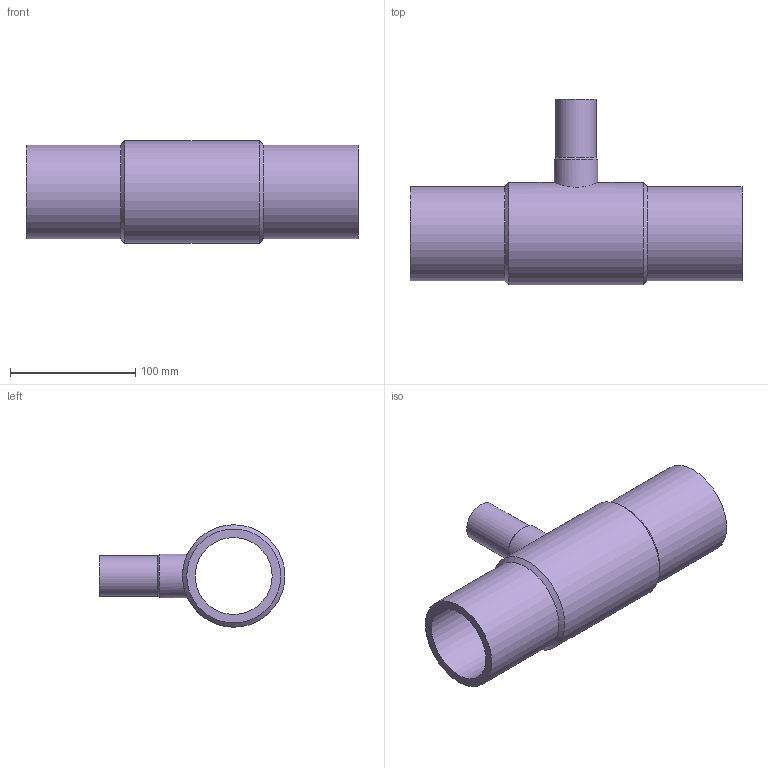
import cadquery as cq

PIPE_LENGTH = 265.0
PIPE_DIAMETER = 75.0
BORE_DIAMETER = 61.4

SLEEVE_LENGTH = 114.0
SLEEVE_DIAMETER = 81.8
SLEEVE_CHAMFER = (SLEEVE_DIAMETER - PIPE_DIAMETER) / 2

BRANCH_REACH = 107.5
BRANCH_DIAMETER = 32.0
COLLAR_DIAMETER = 35.0
COLLAR_HEIGHT = 20.0
COLLAR_REACH = SLEEVE_DIAMETER / 2 + COLLAR_HEIGHT
COLLAR_CHAMFER = (COLLAR_DIAMETER - BRANCH_DIAMETER) / 2


def cylinder_along_x(diameter, length):
    """Cylinder on the X axis, centred on the origin."""
    return cq.Workplane("YZ").circle(diameter / 2).extrude(length / 2, both=True)


def cylinder_along_y(diameter, reach):
    """Cylinder from the pipe axis out to the given Y."""
    return cq.Workplane("XZ").circle(diameter / 2).extrude(-reach)


def make_sleeve():
    """Thicker middle section, chamfered down to the pipe at both ends."""
    sleeve = cylinder_along_x(SLEEVE_DIAMETER, SLEEVE_LENGTH)
    return sleeve.faces("<X or >X").edges().chamfer(SLEEVE_CHAMFER)


def make_branch():
    """Solid spigot with a collar chamfered down to the spigot at its outer end."""
    spigot = cylinder_along_y(BRANCH_DIAMETER, BRANCH_REACH)
    collar = cylinder_along_y(COLLAR_DIAMETER, COLLAR_REACH)
    collar = collar.faces(">Y").edges().chamfer(COLLAR_CHAMFER)
    return spigot.union(collar)


pipe = cylinder_along_x(PIPE_DIAMETER, PIPE_LENGTH)
bore = cylinder_along_x(BORE_DIAMETER, PIPE_LENGTH)

result = pipe.union(make_sleeve()).union(make_branch()).cut(bore)